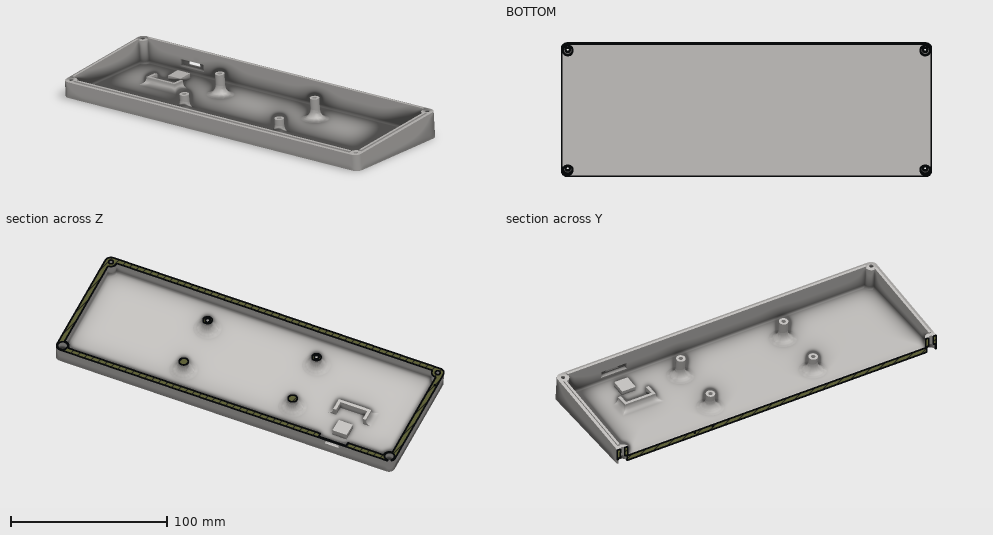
import cadquery as cq
import math

width = 236.7
depth = 85.5
height = 19.2
tilt = 5.0

wall = 3.8
floor = 2.0
floor_fillet = 1.5
corner_radius = 4.0
lip_setback = 2.1
lip_height = 1.0
lip_end_gap = 7.5
screw_hole = 2.8
screw_head = 6.2
screw_seat = 7.0

post_diameter = 6.2
post_hole = 2.8
post_hole_depth = 4.7
post_rise = -0.2
post_flare = 6.2
post_x = (-38.0, 38.0)
post_y = (-18.7, 19.0)

rib_left = -87.1
rib_right = -64.5
rib_front = 5.0
rib_back = 14.0
rib_thickness = 2.01
rib_height = 5.0
rib_flare = 4.0
pad_x = -75.8
pad_y = 24.6
pad_width = 10.0
pad_depth = 10.2
pad_height = 3.5

port_x = pad_x
port_width = 9.5
port_height = 3.0
port_z = 8.0
recess_width = 19.0
recess_height = 5.0
recess_skin = 1.2

sin_tilt = math.sin(math.radians(tilt))
cos_tilt = math.cos(math.radians(tilt))
tan_tilt = sin_tilt / cos_tilt

back_height = height + lip_setback * sin_tilt - lip_height * cos_tilt
rim_depth = (depth - back_height * tan_tilt) / cos_tilt
rim_y = (rim_depth * cos_tilt - depth) / 2
rim_z = back_height - rim_depth * sin_tilt / 2
reach = 2 * height


def sloped_plane(x, y, z):
    """Workplane through a point, parallel to the sloped rim."""
    return cq.Workplane(cq.Plane((x, y, z), xDir=(1, 0, 0), normal=(0, -sin_tilt, cos_tilt)))


def rim_plane(offset=0.0):
    """Workplane over the middle of the rim, raised by offset along its normal."""
    return sloped_plane(0, rim_y, rim_z).workplane(offset=offset)


def above(level):
    """Large block filling everything above a horizontal level."""
    return cq.Workplane("XY", origin=(0, 0, level)).rect(2 * width, 2 * depth).extrude(3 * height)


post_points = [(x, y) for x in post_x for y in post_y]
corner_points = [
    (sx * (width / 2 - corner_radius), sy * (rim_depth / 2 - corner_radius))
    for sx in (-1, 1)
    for sy in (-1, 1)
]


def make_shell():
    """Solid outer block, square to the sloped rim and cut level at the bottom."""
    upright = cq.selectors.ParallelDirSelector(cq.Vector(0, -sin_tilt, cos_tilt))
    outer = rim_plane().rect(width, rim_depth).extrude(-reach)
    return outer.edges(upright).fillet(corner_radius).intersect(above(0))


def make_cavity():
    """Inner space over a level floor, leaving round screw bosses in the corners."""
    cavity = rim_plane(reach).rect(width - 2 * wall, rim_depth - 2 * wall).extrude(-2 * reach)
    bosses = rim_plane(reach).pushPoints(corner_points).circle(corner_radius).extrude(-2 * reach)
    cavity = cavity.cut(bosses).intersect(above(floor))
    return cavity.faces("<Z").edges().fillet(floor_fillet)


def make_lips():
    """Raised strip along the inner edge of each wall, stopping short of the corners."""
    lips = rim_plane().rect(width - 2 * lip_setback, rim_depth - 2 * lip_setback)
    lips = lips.rect(width - 2 * wall, rim_depth - 2 * wall).extrude(lip_height)
    ends = rim_plane().rect(width - lip_end_gap, rim_depth - lip_end_gap, forConstruction=True)
    ends = ends.vertices().rect(lip_end_gap, lip_end_gap).extrude(lip_height)
    return lips.cut(ends)


def make_screw_holes():
    """Holes through the corner bosses, counterbored from below."""
    shanks = rim_plane().pushPoints(corner_points).circle(screw_hole / 2).extrude(-reach)
    heads = rim_plane(-screw_seat).pushPoints(corner_points).circle(screw_head / 2).extrude(-reach)
    return shanks.union(heads)


def add_posts(body):
    """Standoffs square to the rim, flared into the floor, each with a blind hole."""
    posts = rim_plane(post_rise).pushPoints(post_points).circle(post_diameter / 2).extrude(-reach)
    body = body.union(posts.intersect(above(floor / 2)))
    for x, y in post_points:
        foot_y = rim_y + y * cos_tilt + (rim_z + y * sin_tilt - floor) * tan_tilt
        near_foot = cq.selectors.BoxSelector(
            (x - post_diameter, foot_y - post_diameter, floor / 2),
            (x + post_diameter, foot_y + post_diameter, 3 * floor / 2),
        )
        body = body.edges(near_foot).fillet(post_flare)
    holes = rim_plane(post_rise).pushPoints(post_points).circle(post_hole / 2).extrude(-post_hole_depth)
    return body.cut(holes)


def make_rib():
    """U-shaped rib whose three outer sides flare into the floor and meet in mitres."""
    top = floor + rib_height
    flare_top = floor + rib_flare
    bend = rib_flare * (1 - math.sqrt(0.5))
    across = (
        cq.Workplane("XZ", origin=(0, rib_back, 0))
        .moveTo(rib_left - rib_flare, 0)
        .lineTo(rib_left - rib_flare, floor)
        .threePointArc((rib_left - bend, floor + bend), (rib_left, flare_top))
        .lineTo(rib_left, top)
        .lineTo(rib_right, top)
        .lineTo(rib_right, flare_top)
        .threePointArc((rib_right + bend, floor + bend), (rib_right + rib_flare, floor))
        .lineTo(rib_right + rib_flare, 0)
        .close()
        .extrude(reach)
    )
    along = (
        cq.Workplane("YZ", origin=(rib_left - reach, 0, 0))
        .moveTo(rib_front - rib_flare, 0)
        .lineTo(rib_front - rib_flare, floor)
        .threePointArc((rib_front - bend, floor + bend), (rib_front, flare_top))
        .lineTo(rib_front, top)
        .lineTo(rib_back, top)
        .lineTo(rib_back, 0)
        .close()
        .extrude(rib_right - rib_left + 2 * reach)
    )
    inside_width = rib_right - rib_left - 2 * rib_thickness
    inside_depth = 2 * (rib_back - rib_front - rib_thickness)
    inside = sloped_plane((rib_left + rib_right) / 2, rib_back, top)
    inside = inside.rect(inside_width, inside_depth).extrude(reach, both=True)
    return across.intersect(along).cut(inside.intersect(above(floor)))


def make_pad():
    """Small rectangular pad with its top parallel to the rim."""
    pad = sloped_plane(pad_x, pad_y, floor + pad_height).rect(pad_width, pad_depth)
    return pad.extrude(-reach).intersect(above(floor / 2))


def make_port():
    """Opening through the back wall with a wider recess on the inside."""
    back_plane = cq.Plane(
        origin=(port_x, depth / 2 - port_z * tan_tilt, port_z),
        xDir=(-1, 0, 0),
        normal=(0, cos_tilt, sin_tilt),
    )
    opening = cq.Workplane(back_plane).rect(port_width, port_height).extrude(-wall)
    recess = cq.Workplane(back_plane).workplane(offset=-recess_skin)
    return opening.union(recess.rect(recess_width, recess_height).extrude(-wall))


result = make_shell().cut(make_cavity()).union(make_lips()).cut(make_screw_holes())
result = add_posts(result).union(make_rib()).union(make_pad()).cut(make_port())